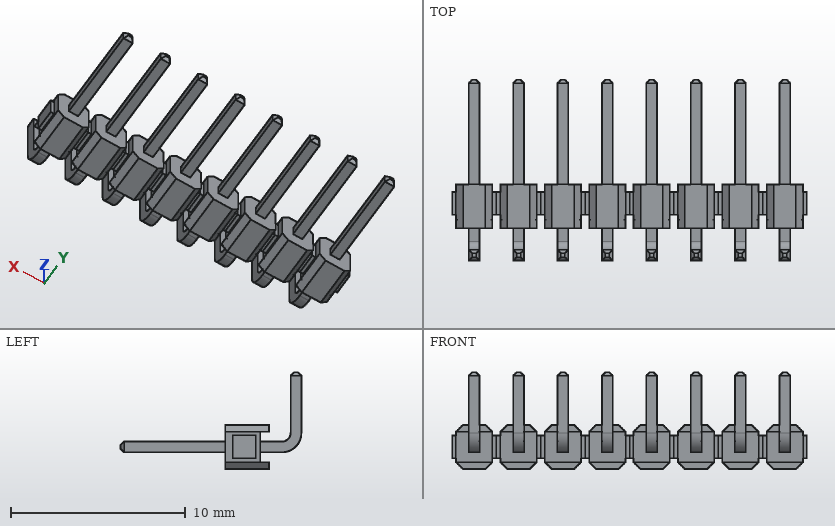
import cadquery as cq


POSITION_COUNT = 8
ROW_LENGTH = 20.32
PITCH = ROW_LENGTH / POSITION_COUNT

BLOCK_WIDTH = 2.1
BLOCK_DEPTH = 2.52
BLOCK_HEIGHT = PITCH
BLOCK_FRONT = -BLOCK_DEPTH / 2
BLOCK_BACK = BLOCK_DEPTH / 2
EDGE_CHAMFER = 0.4

SLOT_DEPTH = 0.5
SLOT_HEIGHT = BLOCK_HEIGHT - 2 * EDGE_CHAMFER

WEB_DEPTH = 1.32
WEB_HEIGHT = 1.32
WEB_BACK_SETBACK = 0.43

PIN_THICKNESS = 0.63
PIN_OVERALL_DEPTH = 10.36
PIN_FRONT_REACH = 1.85
OVERALL_HEIGHT = 5.55
PIN_TOP = OVERALL_HEIGHT - BLOCK_HEIGHT / 2
BEND_OUTER_RADIUS = 1.12
TIP_CHAMFER = 0.2


def make_block():
    """Insulator block with chamfered long edges and a slot across its front."""
    block = cq.Workplane("XY").box(BLOCK_WIDTH, BLOCK_DEPTH, BLOCK_HEIGHT)
    block = block.edges("|Y").chamfer(EDGE_CHAMFER)
    slot = cq.Workplane("XY").box(BLOCK_WIDTH, SLOT_DEPTH, SLOT_HEIGHT)
    return block.cut(slot.translate((0, BLOCK_FRONT + SLOT_DEPTH / 2, 0)))


def make_web():
    """Bar running the full pitch, so that it shows on both block sides."""
    web_y = BLOCK_BACK - WEB_BACK_SETBACK - WEB_DEPTH / 2
    return cq.Workplane("XY").box(PITCH, WEB_DEPTH, WEB_HEIGHT).translate((0, web_y, 0))


def make_pin():
    """Square pin along Y, bent up into a Z leg, with both tips tapered."""
    leg_y = BLOCK_FRONT - PIN_FRONT_REACH + PIN_THICKNESS / 2
    back_y = BLOCK_FRONT - PIN_FRONT_REACH + PIN_OVERALL_DEPTH
    bend_radius = BEND_OUTER_RADIUS - PIN_THICKNESS / 2
    centre_line = (
        cq.Workplane("YZ")
        .moveTo(back_y, 0)
        .lineTo(leg_y + bend_radius, 0)
        .radiusArc((leg_y, bend_radius), bend_radius)
        .lineTo(leg_y, PIN_TOP)
    )
    pin = (
        cq.Workplane("XZ", origin=(0, back_y, 0))
        .rect(PIN_THICKNESS, PIN_THICKNESS)
        .sweep(centre_line)
    )
    return pin.faces(">Y or >Z").edges().chamfer(TIP_CHAMFER)


def make_position():
    """One complete header position: block, web and pin in one solid."""
    return make_block().union(make_web()).union(make_pin()).solids().val()


position = make_position()
positions = []
for index in range(POSITION_COUNT):
    position_x = (index - (POSITION_COUNT - 1) / 2) * PITCH
    positions.append(position.translate(cq.Vector(position_x, 0, 0)))

result = cq.Compound.makeCompound(positions)